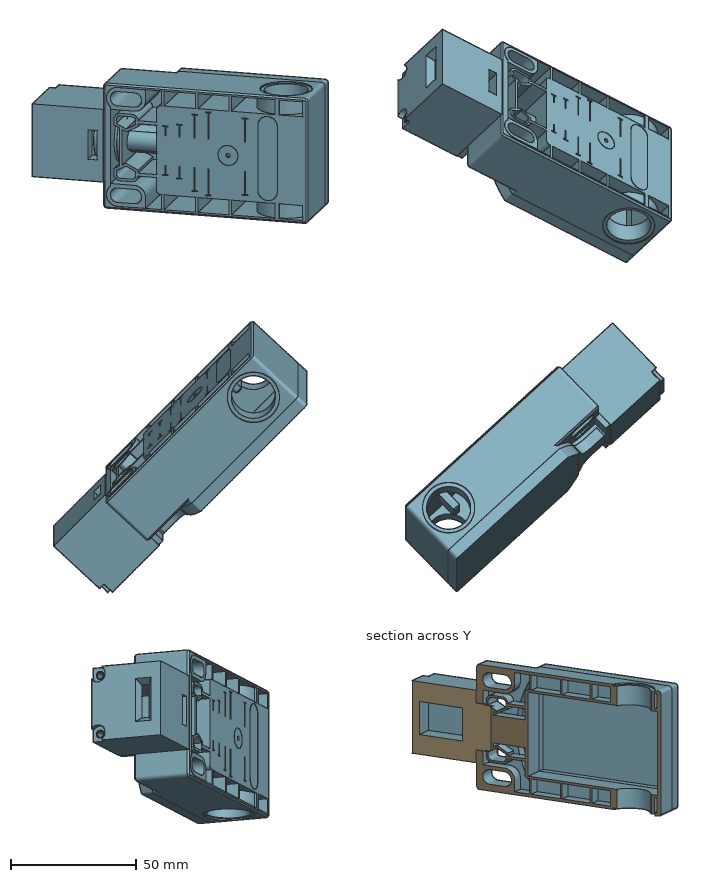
import cadquery as cq
import math

LENGTH = 114.5
DEPTH = 30.2
HALF_HEIGHT = 26.0
RAISED = 0.1
SHALLOW_RAISED = 0.06
BACK_STEP = 0.3
AXIS_Y = 15.1

HEAD_LENGTH = 29.5
HEAD_HALF_HEIGHT = 15.1
SPIGOT_RADIUS = 9.6
SPIGOT_END = 36.3
COLLAR_RADIUS, COLLAR_END = 10.0, 33.7
FUNNEL_Y, FUNNEL_HALF_HEIGHT, FUNNEL_WIDTH = 7.5, 8.8, 6.6
FUNNEL_DEPTH = 3.4
PASSAGE_Y, PASSAGE_HALF_HEIGHT, PASSAGE_WIDTH = 8.0, 6.8, 3.1
WINDOW_START, WINDOW_END = 23.1, 27.0
WINDOW_HALF_HEIGHT = 6.1
WHEEL_RADIUS, WHEEL_START, WHEEL_END = 9.2, 23.8, 26.0
WHEEL_DISH_OUTER, WHEEL_DISH_INNER, WHEEL_DISH_DEPTH = 8.2, 7.2, 1.1
SCREW_Y, SCREW_Z = 27.3, 12.0
SCREW_RECESS_RADIUS, SCREW_RECESS_DEPTH = 3.2, 2.5
SCREW_RECESS_EDGE_Y = 25.4
SCREW_HOLE_RADIUS, SCREW_BORE_RADIUS = 1.3, 1.6
SCREW_HOLE_DEPTH, SCREW_BORE_DEPTH = 6.9, 0.6

CORNER_RADIUS = 1.5
EDGE_CHAMFER = 0.7
SHELF_Y = 23.7
SPLIT_Y = 25.3
FLOOR_Y = 21.2
BULGE_RADIUS = 40.9
BULGE_CENTER_X = 85.0
BULGE_WALL = 1.4
BULGE_EDGE_RADIUS = 0.8
NECK_START, NECK_HALF_HEIGHT, NECK_FILLET = 32.7, 5.7, 6.5
LIP_END = 32.0
BACK_STEP_END = 47.4

END_WALL_X = 32.6
RIM_Z = 24.6
BLOCK_X, BLOCK_HALF_HEIGHT, BLOCK_CORNER = 51.8, 18.4, 1.7
CAVITY_END = 53.8
POCKET_SPANS = [(54.8, 68.0), (69.0, 81.8), (82.8, 100.9), (102.6, 112.4)]
PARTITION_START, PARTITION_END = SPIGOT_END, 37.4
PARTITION_HALF_HEIGHT = 8.0
GUIDE_RADIUS, GUIDE_CORE_RADIUS, GUIDE_CORE_SHIFT = 5.7, 3.9, 4.1
GUIDE_BASE_HALF_HEIGHT = 5.8
RIB_Z, RIB_WIDTH = 10.9, 1.3

SLOT_X, SLOT_Z, SLOT_LENGTH, SLOT_WIDTH = 39.0, 20.0, 12.9, 6.0
PAD_LENGTH, PAD_WIDTH = 16.3, 9.3
SMALL_HOLE_X, SMALL_HOLE_HALF_WIDTH = 39.0, 4.0
SMALL_HOLE_TOP, SMALL_HOLE_SHOULDER, SMALL_HOLE_TIP = 12.9, 9.7, 7.7
SMALL_HOLE_CORNER = 1.6
SMALL_BOSS_WALL = 1.0

ENTRY_X, ENTRY_Y, ENTRY_RADIUS = 102.0, 12.6, 8.8
ENTRY_RIM_RADIUS, ENTRY_RIM_DEPTH = 10.4, 0.6
ENTRY_BOSS_RADIUS, ENTRY_BOSS_END = 11.7, 111.5
STUD_START, STUD_END, STUD_TOP, STUD_CHAMFER = 93.9, 97.3, 11.0, 0.6
STUD_HALF_HEIGHT, STUD_CORNER = 4.6, 1.4

HOLLOW_START, HOLLOW_END, HOLLOW_FRONT, HOLLOW_HALF_HEIGHT = 53.5, 112.8, 1.7, 17.3
COVER_WALL = 1.7

TALL_MARK = (73.3, 17.4)
LOW_MARKS = [(55.4, 10.3), (61.3, 11.3), (67.5, 16.0), (88.5, 16.0)]
MARK_INNER_Z, MARK_LINE, MARK_CAP = 6.2, 0.3, 2.3
PANEL_X, PANEL_LENGTH, PANEL_WIDTH = 97.9, 34.9, 8.1
DISC_X, DISC_RADIUS, DISC_HOLE_RADIUS, DISC_HOLE_DEPTH = 81.4, 4.1, 0.8, 1.1


def block(x0, x1, y0, y1, z0, z1):
    """Box between two limits on each axis."""
    return cq.Workplane(cq.Solid.makeBox(x1 - x0, y1 - y0, z1 - z0, cq.Vector(x0, y0, z0)))


def rod_x(x0, x1, y, z, radius):
    """Cylinder along X."""
    return cq.Workplane(cq.Solid.makeCylinder(radius, x1 - x0, cq.Vector(x0, y, z), cq.Vector(1, 0, 0)))


def rod_z(x, y, z0, z1, radius):
    """Cylinder along Z."""
    return cq.Workplane(cq.Solid.makeCylinder(radius, z1 - z0, cq.Vector(x, y, z0)))


def face_sketch(y):
    """Sketch plane parallel to the front face; local X and Y are X and Z, extruding toward the front."""
    return cq.Workplane("XZ", origin=(0, y, 0))


def both_halves(shape):
    """The shape together with its mirror image below Z = 0."""
    return shape.union(shape.mirror("XY"))


def rounded_bar(y0, y1):
    """Full housing outline with rounded corners between two depths."""
    return block(HEAD_LENGTH, LENGTH, y0, y1, -HALF_HEIGHT, HALF_HEIGHT).edges("|Y").fillet(CORNER_RADIUS)


def back_outline(y0, y1):
    """Neck that flares through a fillet into the rounded end of the full-depth part."""
    flare_z = NECK_HALF_HEIGHT + NECK_FILLET
    reach = BULGE_RADIUS + NECK_FILLET
    flare_x = BULGE_CENTER_X - math.sqrt(reach**2 - flare_z**2)
    neck = block(NECK_START, BULGE_CENTER_X, y0, y1, -flare_z, flare_z)
    flare = face_sketch(y1).center(flare_x, flare_z).circle(NECK_FILLET).extrude(y1 - y0)
    tangent_x = BULGE_CENTER_X - (BULGE_CENTER_X - flare_x) * BULGE_RADIUS / reach
    above_neck = block(NECK_START, flare_x, y0, y1, NECK_HALF_HEIGHT, flare_z)
    above_flare = block(flare_x, tangent_x, y0, y1, flare_z * BULGE_RADIUS / reach, flare_z)
    neck = neck.cut(both_halves(flare.union(above_neck).union(above_flare)))

    bulge_end_x = BULGE_CENTER_X - math.sqrt(BULGE_RADIUS**2 - HALF_HEIGHT**2)
    bulge = (
        face_sketch(y1)
        .moveTo(LENGTH, HALF_HEIGHT)
        .lineTo(bulge_end_x, HALF_HEIGHT)
        .threePointArc((BULGE_CENTER_X - BULGE_RADIUS, 0), (bulge_end_x, -HALF_HEIGHT))
        .lineTo(LENGTH, -HALF_HEIGHT)
        .close()
        .extrude(y1 - y0)
        .edges("|Y and (not >X)").fillet(BULGE_EDGE_RADIUS)
        .edges("|Y and >X").fillet(CORNER_RADIUS)
    )
    return bulge.union(neck)


def small_hole(y0, y1, wall=0.0):
    """Upper five-sided hole, grown outward by a wall thickness."""
    left = SMALL_HOLE_X - SMALL_HOLE_HALF_WIDTH
    right = SMALL_HOLE_X + SMALL_HOLE_HALF_WIDTH
    outline = face_sketch(y1).polyline([
        (left, SMALL_HOLE_TOP),
        (right, SMALL_HOLE_TOP),
        (right, SMALL_HOLE_SHOULDER),
        (SMALL_HOLE_X, SMALL_HOLE_TIP),
        (left, SMALL_HOLE_SHOULDER),
    ]).close()
    if wall:
        outline = outline.offset2D(wall, "intersection")
    hole = outline.extrude(y1 - y0).edges("|Y and >Z").fillet(SMALL_HOLE_CORNER + wall)
    if wall:
        hole = hole.edges("|Y and <Z").fillet(wall)
    return hole


def small_holes():
    return both_halves(small_hole(-RAISED, DEPTH))


def mounting_pad():
    """Upper slot boss: rounded at the lower right, square where it joins the walls."""
    half_length = PAD_LENGTH / 2
    half_width = PAD_WIDTH / 2
    pad = face_sketch(FLOOR_Y).center(SLOT_X, SLOT_Z).slot2D(PAD_LENGTH, PAD_WIDTH).extrude(FLOOR_Y + RAISED)
    right = SLOT_X + half_length
    upper_right = block(SLOT_X, right, -RAISED, FLOOR_Y, SLOT_Z, RIM_Z)
    lower_left = block(END_WALL_X, SLOT_X, -RAISED, FLOOR_Y, SLOT_Z - half_width, SLOT_Z)
    upper_left = block(END_WALL_X, SLOT_X, 0, FLOOR_Y, SLOT_Z, RIM_Z)
    return pad.union(upper_right).union(lower_left).union(upper_left)


def front_recesses():
    """End cavity around the central block, and the rows of pockets along both long walls."""
    cavity = block(END_WALL_X, CAVITY_END, -RAISED, FLOOR_Y, -RIM_Z, RIM_Z)
    deep_zone = (
        face_sketch(SPLIT_Y).center(BULGE_CENTER_X, 0)
        .circle(BULGE_RADIUS - BULGE_WALL)
        .extrude(SPLIT_Y + RAISED)
    )
    cavity = cavity.union(deep_zone.intersect(block(END_WALL_X, CAVITY_END, -RAISED, SPLIT_Y, -RIM_Z, RIM_Z)))
    central = block(BLOCK_X, LENGTH, -RAISED, SPLIT_Y, -BLOCK_HALF_HEIGHT, BLOCK_HALF_HEIGHT)
    recesses = cavity.cut(central.edges("|Y and <X").fillet(BLOCK_CORNER))
    for start, end in POCKET_SPANS:
        pocket = block(start, end, -RAISED, FLOOR_Y, BLOCK_HALF_HEIGHT, RIM_Z)
        recesses = recesses.union(both_halves(pocket))
    return recesses


def cable_entry_boss():
    """Round wall of the cable entry, kept inside the long walls and the end wall."""
    boss = rod_z(ENTRY_X, ENTRY_Y, -HALF_HEIGHT, HALF_HEIGHT, ENTRY_BOSS_RADIUS)
    half_height = RIM_Z + EDGE_CHAMFER
    return boss.intersect(block(HEAD_LENGTH, ENTRY_BOSS_END, 0, SHELF_Y, -half_height, half_height))


def cable_entry_bore():
    """Bore from the top to the bottom with a shallow rim at each end."""
    bore = rod_z(ENTRY_X, ENTRY_Y, -HALF_HEIGHT, HALF_HEIGHT, ENTRY_RADIUS)
    rim = rod_z(ENTRY_X, ENTRY_Y, HALF_HEIGHT - ENTRY_RIM_DEPTH, HALF_HEIGHT, ENTRY_RIM_RADIUS)
    return bore.union(both_halves(rim))


def inner_stud():
    """Post on the inside of the front face, beside the cable entry."""
    stud = block(STUD_START, STUD_END, 0, STUD_TOP, -STUD_HALF_HEIGHT, STUD_HALF_HEIGHT)
    return stud.edges("|Y and <X").fillet(STUD_CORNER).faces(">Y").edges().chamfer(STUD_CHAMFER)


def inner_hollow():
    """Space shared by the housing and the cover."""
    back = DEPTH - COVER_WALL
    return block(HOLLOW_START, HOLLOW_END, HOLLOW_FRONT, back, -HOLLOW_HALF_HEIGHT, HOLLOW_HALF_HEIGHT)


def t_mark(x, outer_z, height):
    """Upper T-shaped mark: a line with a cross bar at its outer end."""
    half_line = MARK_LINE / 2
    half_cap = MARK_CAP / 2
    stem = block(x - half_line, x + half_line, -height, EDGE_CHAMFER, MARK_INNER_Z, outer_z)
    cap = block(x - half_cap, x + half_cap, -height, EDGE_CHAMFER, outer_z - MARK_LINE, outer_z)
    return stem.union(cap)


def add_front_marks(housing):
    """Raised T marks, the long panel and the disc with its small centre hole."""
    for x, outer_z in LOW_MARKS:
        housing = housing.union(both_halves(t_mark(x, outer_z, SHALLOW_RAISED)))
    housing = housing.union(both_halves(t_mark(*TALL_MARK, RAISED)))
    panel = face_sketch(EDGE_CHAMFER).center(PANEL_X, 0).slot2D(PANEL_LENGTH, PANEL_WIDTH, 90)
    disc = face_sketch(EDGE_CHAMFER).center(DISC_X, 0).circle(DISC_RADIUS)
    hole = face_sketch(DISC_HOLE_DEPTH).center(DISC_X, 0).circle(DISC_HOLE_RADIUS)
    housing = housing.union(panel.extrude(EDGE_CHAMFER + RAISED))
    housing = housing.union(disc.extrude(EDGE_CHAMFER + SHALLOW_RAISED))
    return housing.cut(hole.extrude(DISC_HOLE_DEPTH + RAISED))


def make_housing():
    shell = rounded_bar(0, SHELF_Y).faces("<Y or >Y").edges().chamfer(EDGE_CHAMFER)
    lip = block(HEAD_LENGTH, LIP_END, FLOOR_Y, DEPTH - BACK_STEP, -HEAD_HALF_HEIGHT, HEAD_HALF_HEIGHT)
    lip_web = block(LIP_END, NECK_START, FLOOR_Y, DEPTH - BACK_STEP, -NECK_HALF_HEIGHT, NECK_HALF_HEIGHT)
    housing = shell.union(back_outline(FLOOR_Y, SPLIT_Y)).union(lip).union(lip_web).cut(front_recesses())

    partition = block(PARTITION_START, PARTITION_END, 0, FLOOR_Y,
                      -PARTITION_HALF_HEIGHT, PARTITION_HALF_HEIGHT)
    guide = rod_x(PARTITION_START, BLOCK_X, AXIS_Y, 0, GUIDE_RADIUS)
    guide_core = rod_x(PARTITION_START, BLOCK_X, AXIS_Y - GUIDE_CORE_SHIFT, 0, GUIDE_CORE_RADIUS)
    guide_base = block(PARTITION_START, BLOCK_X, AXIS_Y, FLOOR_Y,
                       -GUIDE_BASE_HALF_HEIGHT, GUIDE_BASE_HALF_HEIGHT)
    rib = block(SMALL_HOLE_X, BLOCK_X, 0, FLOOR_Y, RIB_Z - RIB_WIDTH / 2, RIB_Z + RIB_WIDTH / 2)
    housing = housing.union(partition).union(guide_base).union(guide).union(guide_core)
    housing = housing.union(both_halves(rib))
    housing = housing.union(both_halves(small_hole(0, FLOOR_Y, SMALL_BOSS_WALL)))
    housing = housing.union(both_halves(mounting_pad()))
    housing = housing.union(cable_entry_boss()).cut(inner_hollow())
    housing = housing.cut(cable_entry_bore()).union(inner_stud())

    slot = face_sketch(DEPTH).center(SLOT_X, SLOT_Z).slot2D(SLOT_LENGTH, SLOT_WIDTH).extrude(DEPTH + RAISED)
    housing = housing.cut(both_halves(slot)).cut(small_holes())
    housing = housing.cut(head_spigot())
    return add_front_marks(housing)


def make_cover():
    step = block(NECK_START, BACK_STEP_END, DEPTH - BACK_STEP, DEPTH, -HALF_HEIGHT, HALF_HEIGHT)
    return back_outline(SPLIT_Y, DEPTH).cut(step).cut(inner_hollow())


def screw_recess():
    """Recess of the upper head screw, open to the top and the back, with its stepped hole."""
    recess = rod_x(0, SCREW_RECESS_DEPTH, SCREW_Y, SCREW_Z, SCREW_RECESS_RADIUS)
    corner = block(0, SCREW_RECESS_DEPTH, SCREW_RECESS_EDGE_Y, DEPTH, SCREW_Z, HEAD_HALF_HEIGHT)
    bore_end = SCREW_RECESS_DEPTH + SCREW_BORE_DEPTH
    bore = rod_x(0, bore_end, SCREW_Y, SCREW_Z, SCREW_BORE_RADIUS)
    hole = rod_x(0, bore_end + SCREW_HOLE_DEPTH, SCREW_Y, SCREW_Z, SCREW_HOLE_RADIUS)
    return recess.union(corner).union(bore).union(hole)


def actuator_opening():
    """Tapered mouth in the end face, the chamber behind it and the front window, around the wheel."""
    funnel = (
        cq.Workplane("YZ")
        .center(FUNNEL_Y, 0).rect(FUNNEL_WIDTH, 2 * FUNNEL_HALF_HEIGHT)
        .workplane(offset=FUNNEL_DEPTH)
        .center(PASSAGE_Y - FUNNEL_Y, 0).rect(PASSAGE_WIDTH, 2 * PASSAGE_HALF_HEIGHT)
        .loft(ruled=True)
    )
    half_width = PASSAGE_WIDTH / 2
    passage = block(0, WINDOW_END, PASSAGE_Y - half_width, PASSAGE_Y + half_width,
                    -PASSAGE_HALF_HEIGHT, PASSAGE_HALF_HEIGHT)
    chamber_front = PASSAGE_Y - half_width
    chamber = block(FUNNEL_DEPTH, WINDOW_START, chamber_front, 2 * AXIS_Y - chamber_front,
                    -PASSAGE_HALF_HEIGHT, PASSAGE_HALF_HEIGHT)
    window = block(WINDOW_START, WINDOW_END, 0, PASSAGE_Y, -WINDOW_HALF_HEIGHT, WINDOW_HALF_HEIGHT)
    wheel = rod_x(WHEEL_START, WHEEL_END, AXIS_Y, 0, WHEEL_RADIUS)
    dish = cq.Workplane(cq.Solid.makeCone(
        WHEEL_DISH_OUTER, WHEEL_DISH_INNER, WHEEL_DISH_DEPTH,
        cq.Vector(WHEEL_START, AXIS_Y, 0), cq.Vector(1, 0, 0),
    ))
    backing = rod_x(WHEEL_END, WINDOW_END, AXIS_Y, 0, WHEEL_DISH_INNER)
    return funnel.union(passage).union(chamber).union(window).cut(wheel.cut(dish)).cut(backing)


def head_spigot():
    """Stepped round neck that carries the head in the end wall of the housing."""
    collar = rod_x(HEAD_LENGTH, COLLAR_END, AXIS_Y, 0, COLLAR_RADIUS)
    return collar.union(rod_x(HEAD_LENGTH, SPIGOT_END, AXIS_Y, 0, SPIGOT_RADIUS))


def make_head():
    head = block(0, HEAD_LENGTH, 0, DEPTH, -HEAD_HALF_HEIGHT, HEAD_HALF_HEIGHT)
    head = head.cut(both_halves(screw_recess())).cut(actuator_opening())
    step = block(0, SCREW_RECESS_DEPTH, DEPTH - BACK_STEP, DEPTH, -HEAD_HALF_HEIGHT, HEAD_HALF_HEIGHT)
    return head.cut(step).union(head_spigot().cut(small_holes()))


head = make_head()
housing = make_housing()
cover = make_cover()

result = cq.Compound.makeCompound([head.solids().val(), housing.solids().val(), cover.solids().val()])